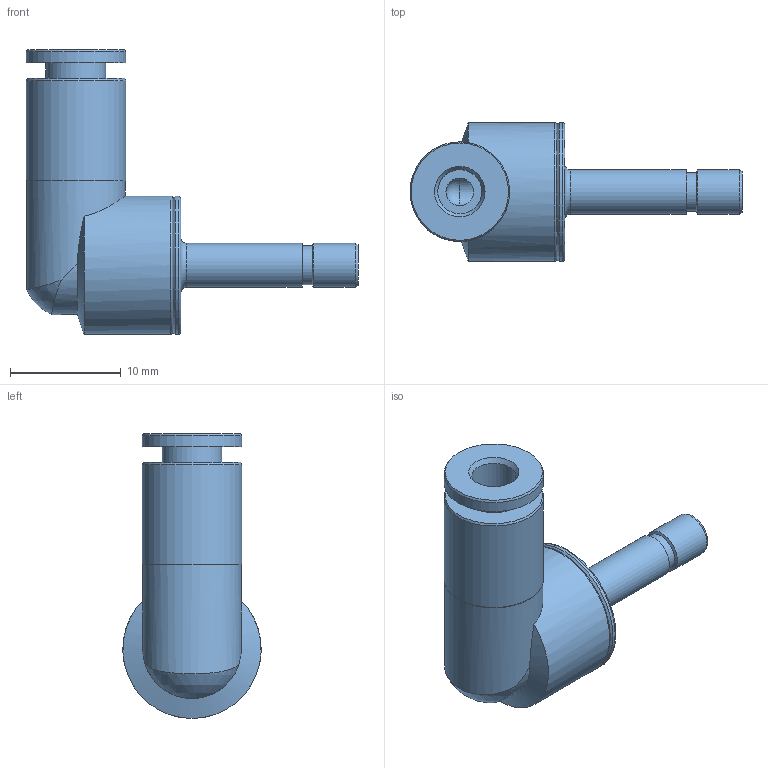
import cadquery as cq
import math


leg_radius = 8.9 / 2
leg_top = 7.65
sleeve_radius = 9.0 / 2
sleeve_top = 16.9
neck_radius = 5.4 / 2
collar_bottom = 18.3
collar_top = 19.5
rim_chamfer_height = 0.2
rim_chamfer_width = 0.1

corner_shift = 0.39

hub_radius = 12.5 / 2
hub_start = 0.75
hub_cone_length = 0.6
hub_edge_fillet = 0.2
hub_end = 8.75
ring_start = 8.97
ring_end = 9.48
ring_edge_fillet = 0.22

stem_radius = 4.0 / 2
stem_end = 25.5
stem_root_fillet = 0.5
stem_groove_radius = 3.5 / 2
stem_groove_start = 20.45
stem_groove_end = 21.36
stem_groove_slope_length = 0.1
stem_tip_chamfer_length = 0.25
stem_tip_chamfer_width = 0.15

tube_bore_radius = 4.0 / 2
tube_bore_bottom = leg_top
tube_mouth_radius = 2.28
tube_mouth_depth = 0.45
flow_bore_radius = 2.5 / 2


def cylinder_z(radius, bottom, top):
    return cq.Workplane("XY").workplane(offset=bottom).circle(radius).extrude(top - bottom)


def cylinder_x(radius, start, end):
    return cq.Workplane("YZ").workplane(offset=start).circle(radius).extrude(end - start)


def chamfered_disc_z(radius, bottom, top):
    """Upright disc with a narrow, steep chamfer on its top rim."""
    profile = [
        (0, bottom),
        (radius, bottom),
        (radius, top - rim_chamfer_height),
        (radius - rim_chamfer_width, top),
        (0, top),
    ]
    return cq.Workplane("XZ").polyline(profile).close().revolve(360, (0, 0, 0), (0, 1, 0))


def make_elbow():
    """Two equal round legs mitred at the origin, with the outer corner rounded by a sphere."""
    reach = 2 * leg_radius
    above_mitre = (
        cq.Workplane("XZ")
        .polyline([(-reach, -reach), (reach, reach), (-reach, reach)])
        .close()
        .extrude(reach, both=True)
    )
    upright_leg = cylinder_z(leg_radius, -reach, leg_top).intersect(above_mitre)
    level_leg = cylinder_x(leg_radius, -reach, hub_end - hub_edge_fillet).cut(above_mitre)
    corner_trim = (
        cq.Workplane("XY")
        .box(reach, 2 * reach, reach)
        .translate((-corner_shift - reach / 2, 0, -corner_shift - reach / 2))
        .cut(cq.Workplane("XY").sphere(leg_radius).translate((-corner_shift, 0, -corner_shift)))
    )
    return upright_leg.union(level_leg).cut(corner_trim)


def make_tube_end():
    """Sleeve, thin neck and release collar stacked on the upright leg."""
    sleeve = chamfered_disc_z(sleeve_radius, leg_top, sleeve_top)
    neck = cylinder_z(neck_radius, sleeve_top, collar_bottom)
    collar = chamfered_disc_z(sleeve_radius, collar_bottom, collar_top)
    return sleeve.union(neck).union(collar)


def arc_midpoint(center_x, center_r, radius, angle):
    """Point on an arc of the turned outline; the angle is measured from +X towards +radius."""
    turn = math.radians(angle)
    return (center_x + radius * math.cos(turn), center_r + radius * math.sin(turn))


def make_hub_and_stem():
    """Coned hub, end ring behind a V groove, and grooved stem, turned about X."""
    hub_fillet_x = hub_end - hub_edge_fillet
    hub_fillet_r = hub_radius - hub_edge_fillet
    ring_fillet_x = ring_end - ring_edge_fillet
    ring_fillet_r = hub_radius - ring_edge_fillet
    root_x = ring_end + stem_root_fillet
    root_r = stem_radius + stem_root_fillet
    return (
        cq.Workplane("XZ")
        .moveTo(hub_start - hub_cone_length, 0)
        .lineTo(hub_start - hub_cone_length, leg_radius)
        .lineTo(hub_start, hub_radius)
        .lineTo(hub_fillet_x, hub_radius)
        .threePointArc(arc_midpoint(hub_fillet_x, hub_fillet_r, hub_edge_fillet, 45), (hub_end, hub_fillet_r))
        .lineTo(ring_start, hub_radius)
        .lineTo(ring_fillet_x, hub_radius)
        .threePointArc(
            arc_midpoint(ring_fillet_x, ring_fillet_r, ring_edge_fillet, 45), (ring_end, ring_fillet_r)
        )
        .lineTo(ring_end, root_r)
        .threePointArc(arc_midpoint(root_x, root_r, stem_root_fillet, 225), (root_x, stem_radius))
        .lineTo(stem_groove_start, stem_radius)
        .lineTo(stem_groove_start, stem_groove_radius)
        .lineTo(stem_groove_end, stem_groove_radius)
        .lineTo(stem_groove_end + stem_groove_slope_length, stem_radius)
        .lineTo(stem_end - stem_tip_chamfer_length, stem_radius)
        .lineTo(stem_end, stem_radius - stem_tip_chamfer_width)
        .lineTo(stem_end, 0)
        .close()
        .revolve(360, (0, 0, 0), (1, 0, 0))
    )


def make_bores():
    """Tube socket with a flared mouth, and the flow passage turning through a ball at the origin."""
    socket_profile = [
        (0, tube_bore_bottom),
        (tube_bore_radius, tube_bore_bottom),
        (tube_bore_radius, collar_top - tube_mouth_depth),
        (tube_mouth_radius, collar_top),
        (0, collar_top),
    ]
    socket = cq.Workplane("XZ").polyline(socket_profile).close().revolve(360, (0, 0, 0), (0, 1, 0))
    upright_passage = cylinder_z(flow_bore_radius, 0, tube_bore_bottom)
    level_passage = cylinder_x(flow_bore_radius, 0, stem_end)
    turn = cq.Workplane("XY").sphere(flow_bore_radius)
    return socket.union(upright_passage).union(level_passage).union(turn)


body = make_elbow().union(make_tube_end()).union(make_hub_and_stem())
result = body.cut(make_bores())